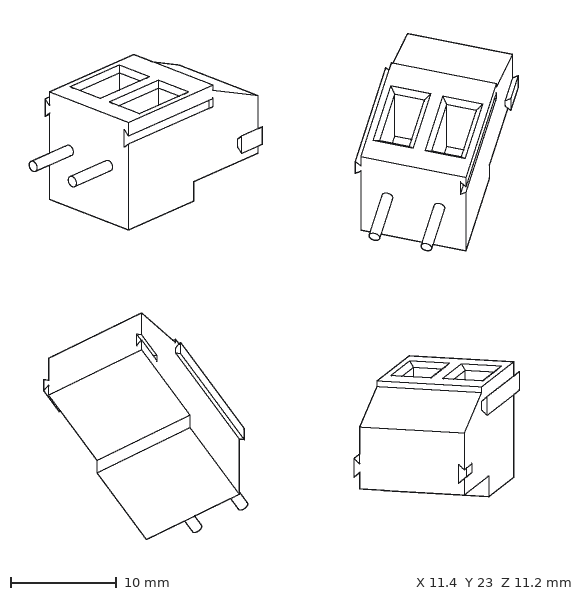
import cadquery as cq

body_width = 10.28
body_length = 17.99
body_height = 11.2
shoulder_y = body_length - 6.25
shoulder_drop = 0.55
back_top_z = body_height - 3.17
foot_length = 9.08
foot_height = 2.02

pole_pitch = 5.08
pole_positions = (-pole_pitch / 2, pole_pitch / 2)
pin_diameter = 1.05
pin_length = 23 - body_length
pin_z = body_height - 5.3

window_width = 3.9
window_length = 6.8
window_front_y = 2.2
window_bevel = 0.5
window_depth = 6.9
ledge_length = 1.68
ledge_height = 0.92

dovetail_depth = 0.55
dovetail_wide = 1.85
dovetail_throat = 0.83
upper_dovetail_z = body_height - 1.82
lower_dovetail_z = body_height - 7.15
lower_dovetail_length = 2.88


def make_housing():
    outline = [
        (0, 0),
        (foot_length, 0),
        (foot_length, foot_height),
        (body_length, foot_height),
        (body_length, back_top_z),
        (shoulder_y, body_height - shoulder_drop),
        (shoulder_y, body_height),
        (0, body_height),
    ]
    return cq.Workplane("YZ").polyline(outline).close().extrude(body_width / 2, both=True)


def make_dovetail(face_x, z, y_start, y_end):
    """Dovetail with its throat at face_x, widening toward -X."""
    outline = [
        (face_x, z - dovetail_throat / 2),
        (face_x, z + dovetail_throat / 2),
        (face_x - dovetail_depth, z + dovetail_wide / 2),
        (face_x - dovetail_depth, z - dovetail_wide / 2),
    ]
    profile = cq.Workplane("XZ", origin=(0, y_start, 0)).polyline(outline).close()
    return profile.extrude(y_start - y_end)


def make_window(x):
    """Pocket with a bevelled rim and a raised ledge at the front of its floor."""
    inner_width = window_width - 2 * window_bevel
    inner_length = window_length - 2 * window_bevel
    inner_front_y = window_front_y + window_bevel
    center_y = window_front_y + window_length / 2
    floor_z = body_height - window_depth

    rim = (
        cq.Workplane("XY", origin=(x, center_y, body_height))
        .rect(window_width, window_length)
        .workplane(offset=-window_bevel)
        .rect(inner_width, inner_length)
        .loft(ruled=True)
    )
    pocket = (
        cq.Workplane("XY", origin=(x, center_y, floor_z))
        .rect(inner_width, inner_length)
        .extrude(window_depth - window_bevel)
    )
    ledge = (
        cq.Workplane("XY", origin=(x, inner_front_y + ledge_length / 2, floor_z))
        .rect(inner_width, ledge_length)
        .extrude(ledge_height)
    )
    return pocket.cut(ledge).union(rim)


def make_pin(x):
    return cq.Workplane("XZ", origin=(x, 0, pin_z)).circle(pin_diameter / 2).extrude(pin_length)


left_x = -body_width / 2
right_x = body_width / 2
lower_start_y = body_length - lower_dovetail_length

result = make_housing()

result = result.union(make_dovetail(left_x, upper_dovetail_z, 0, shoulder_y))
result = result.cut(make_dovetail(right_x, upper_dovetail_z, 0, shoulder_y))

lower_rail = make_dovetail(left_x, lower_dovetail_z, lower_start_y, body_length).mirror("YZ")
lower_groove = make_dovetail(right_x, lower_dovetail_z, lower_start_y, body_length).mirror("YZ")
result = result.union(lower_rail).cut(lower_groove)

for pole_x in pole_positions:
    result = result.cut(make_window(pole_x)).union(make_pin(pole_x))